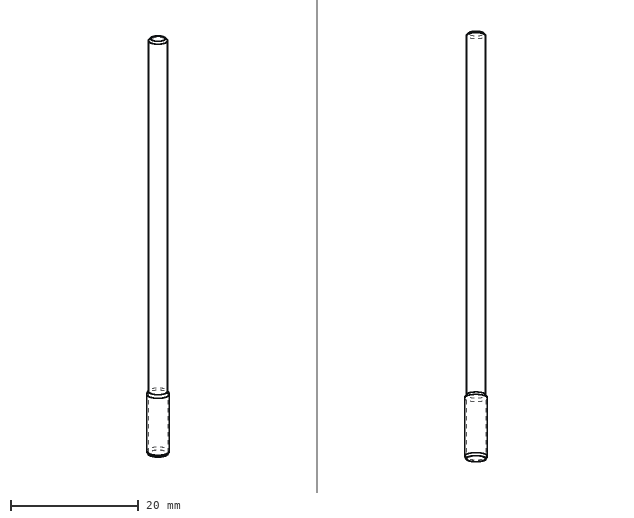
import cadquery as cq

total_length = 70.0
rod_diameter = 3.0
rod_chamfer = 0.35

sleeve_diameter = 3.6
sleeve_length = 10.5
sleeve_top_chamfer_height = 0.5
sleeve_bottom_chamfer_height = 0.4
sleeve_bottom_chamfer_width = 0.2


def make_rod():
    """Plain round rod along Z with a chamfered upper end."""
    return (
        cq.Workplane("XY")
        .circle(rod_diameter / 2)
        .extrude(total_length)
        .faces(">Z")
        .chamfer(rod_chamfer)
    )


def make_sleeve():
    """Ring section revolved around Z, bevelled at both outer ends.

    The upper bevel runs all the way in to the rod surface.
    """
    inner_radius = rod_diameter / 2
    outer_radius = sleeve_diameter / 2
    section = [
        (inner_radius, 0),
        (outer_radius - sleeve_bottom_chamfer_width, 0),
        (outer_radius, sleeve_bottom_chamfer_height),
        (outer_radius, sleeve_length - sleeve_top_chamfer_height),
        (inner_radius, sleeve_length),
    ]
    return cq.Workplane("XZ").polyline(section).close().revolve(360, (0, 0), (0, 1))


rod = make_rod()
sleeve = make_sleeve()
result = cq.Compound.makeCompound([rod.val(), sleeve.val()])